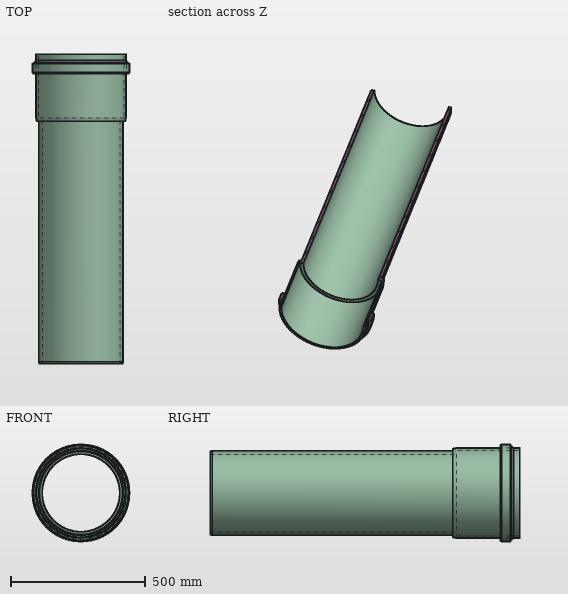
import cadquery as cq

length = 1153.0
mouth_y = length / 2
spigot_y = -length / 2

pipe_radius = 315.0 / 2
bore_radius = 288.0 / 2
spigot_end_radius = 309.0 / 2
spigot_taper_length = 8.0

socket_radius = 335.0 / 2
socket_bore_radius = 318.0 / 2
socket_foot_radius = 330.0 / 2
socket_foot_y = mouth_y - 250.0
socket_foot_taper_length = 14.0
socket_straight_y = socket_foot_y + socket_foot_taper_length

collar_radius = 362.0 / 2
collar_shoulder_radius = 344.0 / 2
collar_foot_radius = 353.0 / 2
collar_top_y = mouth_y - 23.0
collar_bottom_y = mouth_y - 74.0
collar_shoulder_length = 7.0
collar_top_taper_length = 7.0
collar_bottom_taper_length = 6.0
collar_shoulder_y = collar_top_y - collar_shoulder_length


def revolve_about_y(profile):
    """Turn a closed (radius, y) outline around the Y axis."""
    return cq.Workplane("XY").polyline(profile).close().revolve(360, (0, 0, 0), (0, 1, 0))


def make_pipe():
    """Pipe with a tapered spigot end and a widened socket, as one piece."""
    return revolve_about_y([
        (bore_radius, spigot_y),
        (spigot_end_radius, spigot_y),
        (pipe_radius, spigot_y + spigot_taper_length),
        (pipe_radius, socket_foot_y),
        (socket_foot_radius, socket_foot_y),
        (socket_radius, socket_straight_y),
        (socket_radius, mouth_y),
        (socket_bore_radius, mouth_y),
        (socket_bore_radius, socket_straight_y),
        (bore_radius, socket_straight_y),
    ])


def make_collar():
    """Ring seated on the socket, with a two-step taper toward the mouth."""
    return revolve_about_y([
        (socket_radius, collar_bottom_y),
        (collar_foot_radius, collar_bottom_y),
        (collar_radius, collar_bottom_y + collar_bottom_taper_length),
        (collar_radius, collar_shoulder_y - collar_top_taper_length),
        (collar_shoulder_radius, collar_shoulder_y),
        (socket_radius, collar_top_y),
    ])


pipe = make_pipe()
collar = make_collar()

result = cq.Compound.makeCompound([pipe.val(), collar.val()])